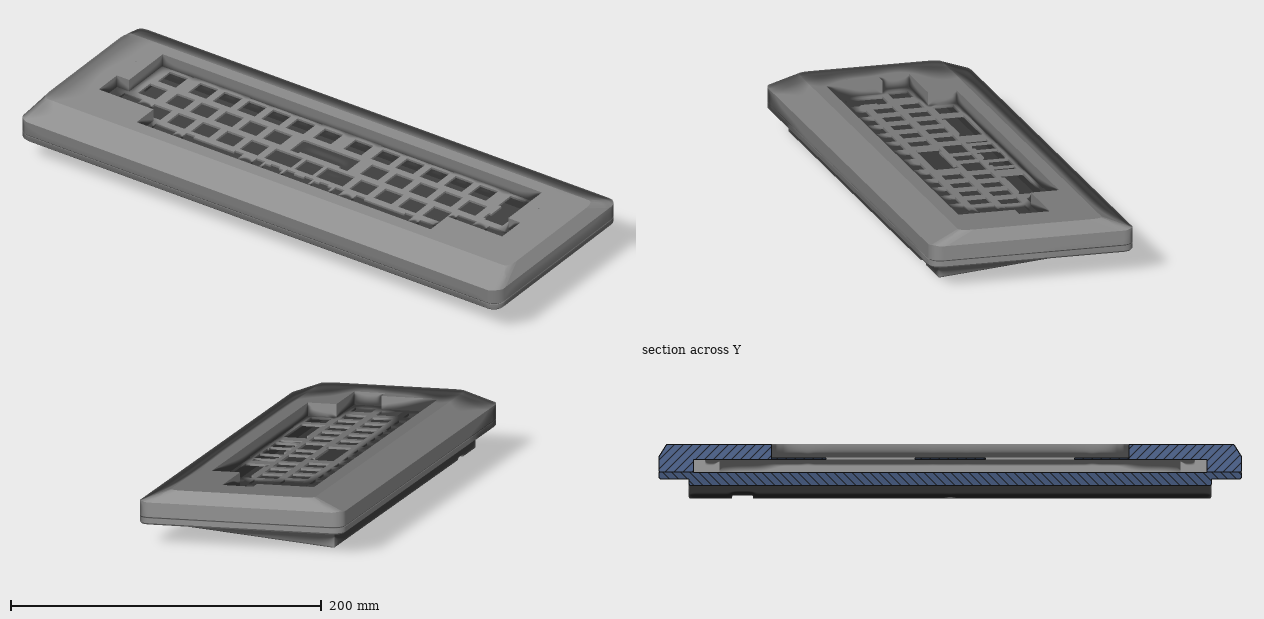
import cadquery as cq
import math

OVERCUT = 1.0

CASE_LENGTH = 375.27
CASE_WIDTH = 137.15
CASE_CORNER_RADIUS = 8.0

TOP_HEIGHT = 18.3
BEVEL_HEIGHT = 8.0
BEVEL_RUN_X = 5.0
BEVEL_RUN_Y = 20.3
BEVEL_HIP_RADIUS = 7.0

SEAM_CHAMFER = 0.8
BASE_THICKNESS = 4.3
BASE_CHAMFER = 1.0

TOTAL_HEIGHT = 35.16
FOOT_LENGTH = 336.5
FOOT_WIDTH = 116.5
FOOT_TILT = 5.0
FOOT_EDGE_RADIUS = 1.0
FOOT_RISE = math.tan(math.radians(FOOT_TILT))
ROUNDING_LIFT = FOOT_EDGE_RADIUS * (FOOT_RISE + 1 / math.cos(math.radians(FOOT_TILT)) - 1)
FOOT_REAR_Z = TOP_HEIGHT - TOTAL_HEIGHT - ROUNDING_LIFT

PORT_NOTCH_X = -133.6
PORT_NOTCH_WIDTH = 13.5
PORT_NOTCH_HEIGHT = 2.0
PORT_NOTCH_RADIUS = 1.0

RECESS_DIAMETER = 7.0
RECESS_DEPTH = 1.0
RECESS_Y = (-49.0, 52.0)

UNIT = 19.05
KEY_CUTOUT = 14.0
ROW_Y = [1.5 * UNIT, 0.5 * UNIT, -0.5 * UNIT, -1.5 * UNIT]
OPENING_CLEARANCE = 0.8
FIELD_EDGE_Y = 2 * UNIT + OPENING_CLEARANCE

UPPER_HALF = 7.75
THIRD_HALF = 8.25
FOURTH_HALF = 6.0

ROW_KEYS = [
    [0.625, 1.75, 2.75, 3.75, 4.75, 5.75, 7.0],
    [2.0, 3.0, 4.0, 5.0, 6.0, 7.125],
    [0.0, 0.875, 1.25, 2.25, 3.25, 4.25, 5.25, 6.25, 7.5],
    [0.0, 1.0, 5.375, 5.5],
]

STAB_WIDTH = 6.7
STAB_LONG_SIDE = 8.9
STAB_SHORT_SIDE = 6.0
STAB_2U = 11.94
STAB_3U = UNIT
LONG_KEY_X = 3.5 * UNIT
LONG_KEY_RADIUS = 1.5
TALL_KEY_X = 7.125 * UNIT
TALL_KEY_Y = UNIT

PLATE_TOP_Z = 9.6
PLATE_THICKNESS = 1.5
PLATE_BOTTOM_Z = PLATE_TOP_Z - PLATE_THICKNESS
RELIEF_DEPTH = 0.8
RELIEF_INNER = (23.0, 80.0)
CORNER_RELIEF_START = 123.5

INDICATOR_HOLE_DIAMETER = 0.8
INDICATOR_HOLE_X = 157.7
INDICATOR_HOLE_Y = 22.0

CAVITY_SIDE_MARGIN = 8.0
CAVITY_UPPER_Y = UNIT


def box(x_min, x_max, y_min, y_max, z_min, z_max):
    """Box between the given limits."""
    return cq.Workplane("XY").box(
        x_max - x_min, y_max - y_min, z_max - z_min, centered=False
    ).translate((x_min, y_min, z_min))


def case_prism(z_min, z_max):
    """Upright prism with the rounded outline of the case."""
    return (
        cq.Workplane("XY", origin=(0, 0, z_min))
        .rect(CASE_LENGTH, CASE_WIDTH)
        .extrude(z_max - z_min)
        .edges("|Z")
        .fillet(CASE_CORNER_RADIUS)
    )


def key_field(z_min, z_max):
    """Stepped block that follows the outline of the key rows."""
    gap = OPENING_CLEARANCE
    upper = UPPER_HALF * UNIT + gap
    third = THIRD_HALF * UNIT + gap
    fourth = FOURTH_HALF * UNIT + gap
    edge = FIELD_EDGE_Y
    field = box(-upper, upper, -gap, edge, z_min, z_max)
    field = field.union(box(-third, third, -UNIT - gap, gap, z_min, z_max))
    return field.union(box(-fourth, fourth, -edge, 0, z_min, z_max))


def make_top_case():
    """Upper shell: four sloped bands around a flat top with the key opening."""
    slope_x = BEVEL_RUN_X / BEVEL_HEIGHT
    slope_y = BEVEL_RUN_Y / BEVEL_HEIGHT
    top_length = CASE_LENGTH - 2 * BEVEL_RUN_X
    top_width = CASE_WIDTH - 2 * BEVEL_RUN_Y
    frustum = (
        cq.Workplane("XY")
        .rect(top_length + 2 * slope_x * TOP_HEIGHT, top_width + 2 * slope_y * TOP_HEIGHT)
        .workplane(offset=TOP_HEIGHT)
        .rect(top_length, top_width)
        .loft(ruled=True)
        .edges("not #Z")
        .fillet(BEVEL_HIP_RADIUS)
    )
    shell = case_prism(0, TOP_HEIGHT).faces("<Z").chamfer(SEAM_CHAMFER)
    shell = shell.intersect(frustum)
    shell = shell.cut(key_field(-OVERCUT, TOP_HEIGHT + OVERCUT))
    cavity_x = THIRD_HALF * UNIT + CAVITY_SIDE_MARGIN
    cavity_lower_y = -FIELD_EDGE_Y
    shell = shell.cut(box(-cavity_x, cavity_x, cavity_lower_y, CAVITY_UPPER_Y, -OVERCUT, PLATE_BOTTOM_Z))
    holes = (
        cq.Workplane("XY", origin=(0, 0, PLATE_TOP_Z))
        .pushPoints([(-INDICATOR_HOLE_X, INDICATOR_HOLE_Y), (INDICATOR_HOLE_X, INDICATOR_HOLE_Y)])
        .circle(INDICATOR_HOLE_DIAMETER / 2)
        .extrude(TOP_HEIGHT)
    )
    return shell.cut(holes)


def make_base():
    """Flat base with a wedge foot that tilts the keyboard toward the user."""
    slab = case_prism(-BASE_THICKNESS, 0)
    slab = slab.faces("<Z").chamfer(BASE_CHAMFER)

    rear = FOOT_WIDTH / 2
    front_z = FOOT_REAR_Z + FOOT_RISE * FOOT_WIDTH
    foot = (
        cq.Workplane("YZ", origin=(-FOOT_LENGTH / 2, 0, 0))
        .polyline([
            (-rear, -BASE_THICKNESS),
            (-rear, front_z),
            (rear, FOOT_REAR_Z),
            (rear, -BASE_THICKNESS),
        ])
        .close()
        .extrude(FOOT_LENGTH)
        .faces("<Z")
        .edges()
        .fillet(FOOT_EDGE_RADIUS)
    )

    notch = box(
        PORT_NOTCH_X - PORT_NOTCH_WIDTH / 2, PORT_NOTCH_X + PORT_NOTCH_WIDTH / 2,
        0, rear + OVERCUT,
        FOOT_REAR_Z - OVERCUT, FOOT_REAR_Z + PORT_NOTCH_HEIGHT,
    )
    notch = notch.edges("|Y and >Z").fillet(PORT_NOTCH_RADIUS)
    foot = foot.cut(notch)
    for y in RECESS_Y:
        bottom_z = FOOT_REAR_Z + FOOT_RISE * (rear - y)
        recess = (
            cq.Workplane("XY")
            .circle(RECESS_DIAMETER / 2)
            .extrude(2 * RECESS_DEPTH)
            .translate((0, 0, -RECESS_DEPTH))
            .rotate((0, 0, 0), (1, 0, 0), -FOOT_TILT)
            .translate((0, y, bottom_z))
        )
        foot = foot.cut(recess)
    return slab.union(foot)


def plate_cutter(x, y, width, height):
    """Rectangular cutter through the plate, centred at x, y."""
    return box(x - width / 2, x + width / 2, y - height / 2, y + height / 2,
               PLATE_TOP_Z - 2 * PLATE_THICKNESS, PLATE_TOP_Z + PLATE_THICKNESS)


def switch_cutout(x, y):
    return plate_cutter(x, y, KEY_CUTOUT, KEY_CUTOUT)


def stab_cutout(x, y, wire_side):
    """Stabilizer cutout; wire_side is +1 or -1 along Y for its longer reach."""
    reach = wire_side * (STAB_LONG_SIDE - STAB_SHORT_SIDE) / 2
    return plate_cutter(x, y + reach, STAB_WIDTH, STAB_LONG_SIDE + STAB_SHORT_SIDE)


def long_key_cutout(x, y, wire_side):
    """Three-unit key: a wide slot with a stabilizer foot at each end."""
    half_length = STAB_3U + STAB_WIDTH / 2
    slot = plate_cutter(x, y, 2 * half_length, KEY_CUTOUT)
    rounded_side = ">Y" if wire_side < 0 else "<Y"
    slot = slot.edges("|Z and " + rounded_side).fillet(LONG_KEY_RADIUS)
    for side in (-1, 1):
        foot_y = y + wire_side * STAB_LONG_SIDE / 2
        slot = slot.union(plate_cutter(x + side * STAB_3U, foot_y, STAB_WIDTH, STAB_LONG_SIDE))
    return slot


def tall_key_cutout():
    """Vertical two-unit key with its stabilizers turned toward -X."""
    cutter = switch_cutout(TALL_KEY_X, TALL_KEY_Y)
    reach = (STAB_LONG_SIDE - STAB_SHORT_SIDE) / 2
    for side in (-1, 1):
        cutter = cutter.union(plate_cutter(
            TALL_KEY_X - reach, TALL_KEY_Y + side * STAB_2U,
            STAB_LONG_SIDE + STAB_SHORT_SIDE, STAB_WIDTH))
    return cutter


def make_plate():
    """Switch plate that fills the key opening."""
    plate = key_field(PLATE_BOTTOM_Z, PLATE_TOP_Z)

    edge = FIELD_EDGE_Y
    relief_length = RELIEF_INNER[1] - RELIEF_INNER[0]
    relief_x = sum(RELIEF_INNER) / 2
    corner_length = UPPER_HALF * UNIT + OPENING_CLEARANCE - CORNER_RELIEF_START
    corner_x = CORNER_RELIEF_START + corner_length / 2
    for side in (-1, 1):
        for edge_y in (-edge, edge):
            plate = plate.cut(plate_cutter(side * relief_x, edge_y, relief_length, 2 * RELIEF_DEPTH))
        plate = plate.cut(plate_cutter(side * corner_x, edge, corner_length, 2 * RELIEF_DEPTH))

    for y, centres in zip(ROW_Y, ROW_KEYS):
        positions = {side * centre for centre in centres for side in (-1, 1)}
        for position in sorted(positions):
            plate = plate.cut(switch_cutout(position * UNIT, y))

    plate = plate.cut(long_key_cutout(0, ROW_Y[1], -1))
    for side in (-1, 1):
        plate = plate.cut(long_key_cutout(side * LONG_KEY_X, ROW_Y[3], 1))
        for offset in (UNIT - STAB_2U, UNIT, UNIT + STAB_2U):
            plate = plate.cut(stab_cutout(side * offset, ROW_Y[3], 1))
    return plate.cut(tall_key_cutout())


top_case = make_top_case()
base = make_base()
plate = make_plate()

result = cq.Compound.makeCompound([top_case.val(), base.val(), plate.val()])